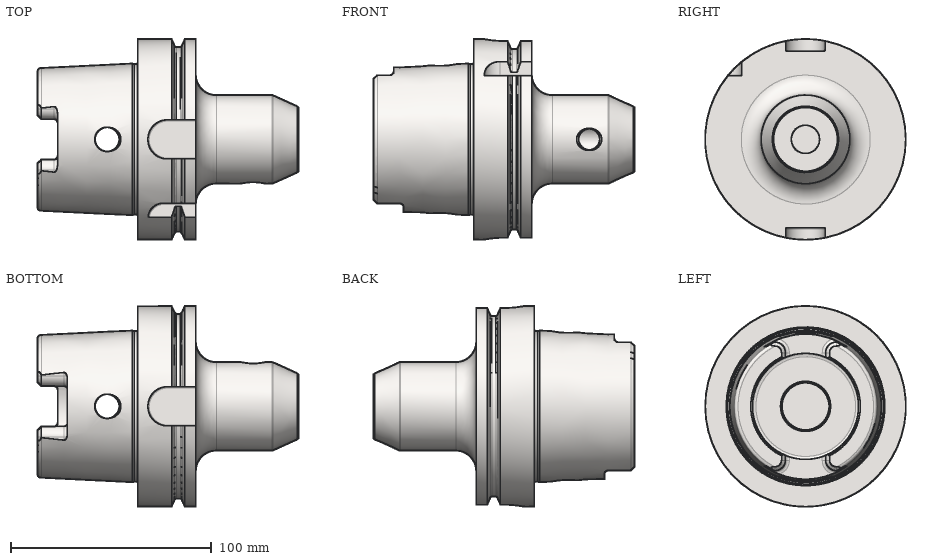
import cadquery as cq
import math

TOTAL_LENGTH = 130.0

SHANK_LENGTH = 49.9
TAPER_LENGTH = 47.3
TAPER_MOUTH_RADIUS = 35.5
TAPER_ROOT_RADIUS = 37.8
MOUTH_ROUND = 1.8
UNDERCUT_DEPTH = 0.3
UNDERCUT_RAMP = 0.8
RECESS_RADIUS = 39.5
RECESS_DEPTH = 0.4
RECESS_ROUND = 1.2

FLANGE_DIAMETER = 100.0
FLANGE_RADIUS = FLANGE_DIAMETER / 2
FLANGE_END = 78.9
GROOVE_CENTER = 70.1
GROOVE_RADIUS = 46.0
GROOVE_TOP_WIDTH = 6.6
GROOVE_FLOOR_WIDTH = 2.0
GROOVE_ROOT_ROUND = 0.9

NOSE_RADIUS = 22.1
NOSE_BLEND = 10.0
NOSE_CONE_START = 117.0
NOSE_EDGE_BLEND = 0.3
NOSE_TIP_RADIUS = 16.5
NOSE_TIP_CHAMFER = 0.6

BORE_RADIUS = 26.4
BORE_CHAMFER = 0.9
BORE_LENGTH = 19.6
CAVITY_RADIUS = 31.5
CAVITY_SHOULDER_ANGLE = 60.0
CAVITY_LENGTH = 39.8
CAVITY_DEPTH = 47.5
SEAT_RADIUS = 27.0
CAVITY_FLOOR_ROUND = 2.2

COOLANT_RADIUS = 11.7
COOLANT_CHAMFER = 0.8
COOLANT_DEPTH = 15.6

TOOL_BORE_RADIUS = 7.0
TOOL_BORE_DEPTH = 46.8
SCREW_X = 107.4
SCREW_RADIUS = 5.2
SCREW_RIM_RADIUS = 6.2

ACCESS_X = 34.7
ACCESS_RADIUS = 6.0
ACCESS_RIM_RADIUS = 6.5

RIM_CLEARANCE = 0.6

KEYWAY_HALF_WIDTH = 10.0
KEYWAY_LEDGE = 32.0
KEYWAY_LEDGE_ROUND = 5.2
KEYWAY_FLOOR_ROUND = 1.8
KEYWAY_MOUTH_CHAMFER = 2.0
KEYWAY_TOP_DEPTH = 10.0
KEYWAY_BOTTOM_DEPTH = 15.0

SLOT_START = 55.0
SLOT_HALF_WIDTH = 9.8
SLOT_FLOOR = 44.0
NOTCH_OFFSET = 31.7
NOTCH_ROUND = 7.8
POCKET_FLOOR_ROUND = 0.5

ARC_MIDPOINT = 1 - math.sqrt(0.5)


def taper_radius(x):
    """Outer radius of the tapered shank at distance x from its mouth."""
    return TAPER_MOUTH_RADIUS + (TAPER_ROOT_RADIUS - TAPER_MOUTH_RADIUS) * x / TAPER_LENGTH


def turned_body():
    """Outer shape of shank, flange and nose, revolved about X."""
    groove_half_top = GROOVE_TOP_WIDTH / 2
    groove_half_floor = GROOVE_FLOOR_WIDTH / 2
    flank_foot = groove_half_floor + GROOVE_ROOT_ROUND
    flank_foot_radius = GROOVE_RADIUS + GROOVE_ROOT_ROUND
    groove_bulge = GROOVE_ROOT_ROUND * ARC_MIDPOINT
    root_bulge_x = flank_foot - groove_bulge
    root_bulge_radius = GROOVE_RADIUS + groove_bulge
    root_radius = TAPER_ROOT_RADIUS - UNDERCUT_DEPTH
    recess_x = SHANK_LENGTH + RECESS_DEPTH
    recess_bulge = RECESS_ROUND * ARC_MIDPOINT
    nose_bulge = NOSE_BLEND * ARC_MIDPOINT
    tip_radius = NOSE_TIP_RADIUS - NOSE_TIP_CHAMFER
    cone_angle = math.atan2(
        NOSE_RADIUS - NOSE_TIP_RADIUS, TOTAL_LENGTH - NOSE_TIP_CHAMFER - NOSE_CONE_START
    )
    blend_end = (
        NOSE_CONE_START + NOSE_EDGE_BLEND * math.cos(cone_angle),
        NOSE_RADIUS - NOSE_EDGE_BLEND * math.sin(cone_angle),
    )
    round_end_radius = taper_radius(MOUTH_ROUND)
    mouth_bulge = MOUTH_ROUND * ARC_MIDPOINT
    profile = (
        cq.Workplane("XY")
        .moveTo(0, 0)
        .lineTo(0, round_end_radius - MOUTH_ROUND)
        .threePointArc((mouth_bulge, round_end_radius - mouth_bulge), (MOUTH_ROUND, round_end_radius))
        .lineTo(TAPER_LENGTH, TAPER_ROOT_RADIUS)
        .lineTo(TAPER_LENGTH + UNDERCUT_RAMP, root_radius)
        .lineTo(recess_x - RECESS_ROUND, root_radius)
        .threePointArc(
            (recess_x - recess_bulge, root_radius + recess_bulge),
            (recess_x, root_radius + RECESS_ROUND),
        )
        .lineTo(SHANK_LENGTH, RECESS_RADIUS)
        .lineTo(SHANK_LENGTH, FLANGE_RADIUS)
        .lineTo(GROOVE_CENTER - groove_half_top, FLANGE_RADIUS)
        .lineTo(GROOVE_CENTER - flank_foot, flank_foot_radius)
        .threePointArc(
            (GROOVE_CENTER - root_bulge_x, root_bulge_radius),
            (GROOVE_CENTER - groove_half_floor, GROOVE_RADIUS),
        )
        .lineTo(GROOVE_CENTER + groove_half_floor, GROOVE_RADIUS)
        .threePointArc(
            (GROOVE_CENTER + root_bulge_x, root_bulge_radius),
            (GROOVE_CENTER + flank_foot, flank_foot_radius),
        )
        .lineTo(GROOVE_CENTER + groove_half_top, FLANGE_RADIUS)
        .lineTo(FLANGE_END, FLANGE_RADIUS)
        .lineTo(FLANGE_END, NOSE_RADIUS + NOSE_BLEND)
        .threePointArc(
            (FLANGE_END + nose_bulge, NOSE_RADIUS + nose_bulge),
            (FLANGE_END + NOSE_BLEND, NOSE_RADIUS),
        )
        .lineTo(NOSE_CONE_START - NOSE_EDGE_BLEND, NOSE_RADIUS)
        .tangentArcPoint(blend_end, relative=False)
        .lineTo(TOTAL_LENGTH - NOSE_TIP_CHAMFER, NOSE_TIP_RADIUS)
        .lineTo(TOTAL_LENGTH, tip_radius)
        .lineTo(TOTAL_LENGTH, 0)
        .close()
    )
    return profile.revolve(360, (0, 0, 0), (1, 0, 0))


def clamping_cavity():
    """Stepped hollow of the shank with the blind coolant bore in its floor."""
    shoulder_length = (CAVITY_RADIUS - BORE_RADIUS) / math.tan(math.radians(CAVITY_SHOULDER_ANGLE))
    bulge = CAVITY_FLOOR_ROUND * ARC_MIDPOINT
    coolant_end = CAVITY_DEPTH + COOLANT_DEPTH
    profile = (
        cq.Workplane("XY")
        .moveTo(0, 0)
        .lineTo(0, BORE_RADIUS + BORE_CHAMFER)
        .lineTo(BORE_CHAMFER, BORE_RADIUS)
        .lineTo(BORE_LENGTH, BORE_RADIUS)
        .lineTo(BORE_LENGTH + shoulder_length, CAVITY_RADIUS)
        .lineTo(CAVITY_LENGTH, CAVITY_RADIUS)
        .lineTo(CAVITY_LENGTH + CAVITY_RADIUS - SEAT_RADIUS, SEAT_RADIUS)
        .lineTo(CAVITY_DEPTH - CAVITY_FLOOR_ROUND, SEAT_RADIUS)
        .threePointArc(
            (CAVITY_DEPTH - bulge, SEAT_RADIUS - bulge),
            (CAVITY_DEPTH, SEAT_RADIUS - CAVITY_FLOOR_ROUND),
        )
        .lineTo(CAVITY_DEPTH, COOLANT_RADIUS + COOLANT_CHAMFER)
        .lineTo(CAVITY_DEPTH + COOLANT_CHAMFER, COOLANT_RADIUS)
        .lineTo(coolant_end, COOLANT_RADIUS)
        .lineTo(coolant_end, 0)
        .close()
    )
    return profile.revolve(360, (0, 0, 0), (1, 0, 0))


def rimmed_hole(radius, rim_radius, surface_radius):
    """Radial hole along +Z from the axis, with a 45 degree rim at the given surface."""
    rim_depth = rim_radius - radius
    profile = (
        cq.Workplane("XZ")
        .moveTo(0, 0)
        .lineTo(radius, 0)
        .lineTo(radius, surface_radius - rim_depth)
        .lineTo(rim_radius + RIM_CLEARANCE, surface_radius + RIM_CLEARANCE)
        .lineTo(0, surface_radius + RIM_CLEARANCE)
        .close()
    )
    return profile.revolve(360, (0, 0, 0), (0, 1, 0))


def keyway_outline(start_x):
    """T-shaped keyway section: a straight slot opening over two rounded ledges."""
    reach = 2 * KEYWAY_HALF_WIDTH
    flare = KEYWAY_HALF_WIDTH + KEYWAY_LEDGE_ROUND
    wall_top = KEYWAY_LEDGE - KEYWAY_LEDGE_ROUND
    bulge = KEYWAY_LEDGE_ROUND * ARC_MIDPOINT
    return (
        cq.Workplane("YZ", origin=(start_x, 0, 0))
        .moveTo(-KEYWAY_HALF_WIDTH, 0)
        .lineTo(KEYWAY_HALF_WIDTH, 0)
        .lineTo(KEYWAY_HALF_WIDTH, wall_top)
        .threePointArc((KEYWAY_HALF_WIDTH + bulge, KEYWAY_LEDGE - bulge), (flare, KEYWAY_LEDGE))
        .lineTo(reach, KEYWAY_LEDGE)
        .lineTo(reach, FLANGE_RADIUS)
        .lineTo(-reach, FLANGE_RADIUS)
        .lineTo(-reach, KEYWAY_LEDGE)
        .lineTo(-flare, KEYWAY_LEDGE)
        .threePointArc(
            (-KEYWAY_HALF_WIDTH - bulge, KEYWAY_LEDGE - bulge),
            (-KEYWAY_HALF_WIDTH, wall_top),
        )
        .close()
    )


def keyway(depth):
    """Keyway cutter for the +Z side with rounded floor edges and a chamfered mouth."""
    slot = keyway_outline(0).extrude(depth).faces(">X").edges().fillet(KEYWAY_FLOOR_ROUND)
    mouth = keyway_outline(KEYWAY_MOUTH_CHAMFER).extrude(-KEYWAY_MOUTH_CHAMFER, taper=-45)
    return slot.union(mouth)


def flange_slot():
    """Round-ended slot cutter on the +Z side, open at the nose face of the flange."""
    width = 2 * SLOT_HALF_WIDTH
    height = FLANGE_RADIUS - SLOT_FLOOR
    round_center = SLOT_START + SLOT_HALF_WIDTH
    straight = cq.Workplane("XY").box(
        FLANGE_END - round_center, width, height, centered=(False, True, False)
    )
    cutter = straight.union(cq.Workplane("XY").circle(SLOT_HALF_WIDTH).extrude(height))
    return (
        cutter.faces("<Z")
        .edges("not >X")
        .fillet(POCKET_FLOOR_ROUND)
        .translate((round_center, 0, SLOT_FLOOR))
    )


def corner_notch():
    """Notch cutter in the -Y +Z corner of the flange, rounded at its shank end."""
    length = FLANGE_END - SLOT_START
    size = FLANGE_RADIUS - NOTCH_OFFSET
    return (
        cq.Workplane("XY")
        .box(length, size, size, centered=False)
        .edges("|Z and <X and >Y")
        .fillet(NOTCH_ROUND)
        .faces("<Z")
        .edges(">Y")
        .fillet(POCKET_FLOOR_ROUND)
        .translate((SLOT_START, -FLANGE_RADIUS, NOTCH_OFFSET))
    )


def turned_over(shape):
    """Copy of a +Z side shape moved to the -Z side."""
    return shape.rotate((0, 0, 0), (1, 0, 0), 180)


body = turned_body().cut(clamping_cavity())

body = body.cut(keyway(KEYWAY_TOP_DEPTH))
body = body.cut(turned_over(keyway(KEYWAY_BOTTOM_DEPTH)))

access_hole = rimmed_hole(ACCESS_RADIUS, ACCESS_RIM_RADIUS, taper_radius(ACCESS_X))
access_hole = access_hole.translate((ACCESS_X, 0, 0))
body = body.cut(access_hole)
body = body.cut(turned_over(access_hole))

body = body.cut(flange_slot())
body = body.cut(turned_over(flange_slot()))
body = body.cut(corner_notch())

nose_face = cq.Workplane("YZ", origin=(TOTAL_LENGTH, 0, 0))
tool_bore = nose_face.circle(TOOL_BORE_RADIUS).extrude(-TOOL_BORE_DEPTH)
screw_hole = (
    rimmed_hole(SCREW_RADIUS, SCREW_RIM_RADIUS, NOSE_RADIUS)
    .rotate((0, 0, 0), (1, 0, 0), 90)
    .translate((SCREW_X, 0, 0))
)
result = body.cut(tool_bore).cut(screw_hole)